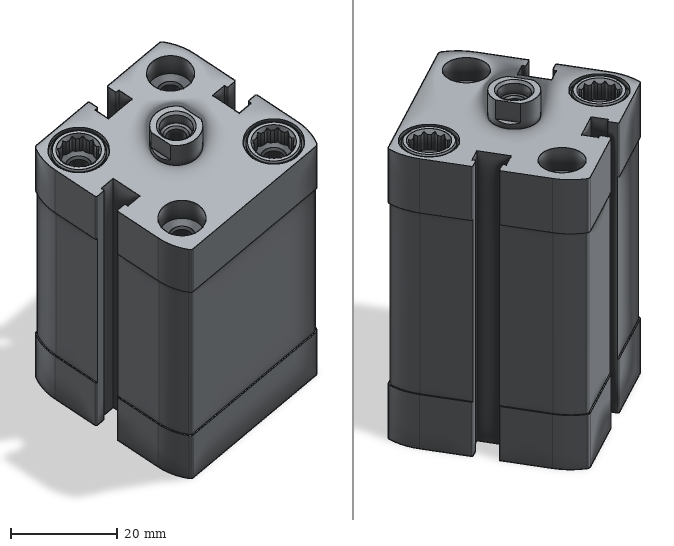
import cadquery as cq
import math

CAP_WIDTH = 39.5
HALF_WIDTH = CAP_WIDTH / 2
OVERALL_HEIGHT = 69.9
HOUSING_HEIGHT = 64.3
CAP_HEIGHT = 12.0
BARREL_INSET = 0.3

HOLE_PITCH = 26.0
HOLE_OFFSET = HOLE_PITCH / 2

CORNER_DIA = 25.4
CORNER_RADIUS = CORNER_DIA / 2
CORNER_EDGE_RADIUS = 0.85

SLOT_MOUTH = 5.2
SLOT_WIDTH = 6.7
SLOT_LIP = 2.3
SLOT_DEPTH = 5.65
SLOT_EDGE_RADIUS = 0.3

THROUGH_DIA = 4.1
THREAD_DIA = 5.0
COUNTERBORE_DIA = 9.0
COUNTERBORE_DEPTH = 5.0

MOAT_DIA = 11.5
MOAT_DEPTH = 1.0
SCREW_DIA = 10.5
SCREW_CHAMFER_WIDTH = 0.3
SCREW_CHAMFER_HEIGHT = 0.4
DRIVE_MOUTH_DIA = 8.5
DRIVE_MOUTH_DEPTH = 1.0
DRIVE_BORE_DIA = 7.5
DRIVE_ACROSS_FLATS = 7.0
DRIVE_DEPTH = 4.5

ROD_DIA = 10.0
ROD_BURIED = CAP_HEIGHT
ROD_FLATS = 8.75
FLATS_CLEARANCE = 1.4
FLATS_SLOPE = 30
ROD_MOUTH_DIA = 7.5
ROD_BORE_DIA = 6.4
ROD_BORE_DEPTH = 2.8
ROD_THREAD_DIA = 5.0
THREAD_CHAMFER_DEPTH = 0.35
ROD_DRILL_DIA = 4.0
ROD_DRILL_DEPTH = 10.0
DRILL_TIP_ANGLE = 118


def cone(large_dia, small_dia, height, z):
    """Cone frustum along Z with its large end at z, narrowing downwards."""
    return cq.Workplane(cq.Solid.makeCone(
        large_dia / 2, small_dia / 2, height, cq.Vector(0, 0, z), cq.Vector(0, 0, -1)))


def countersink(large_dia, small_dia, z):
    """45 degree countersink opening at z."""
    return cone(large_dia, small_dia, (large_dia - small_dia) / 2, z)


def cylinder(dia, z_bottom, z_top):
    return cq.Workplane().workplane(offset=z_bottom).circle(dia / 2).extrude(z_top - z_bottom)


def profile_block(inset, z_bottom, z_top):
    """Length of the square profile with its outline moved inwards by inset."""
    half = HALF_WIDTH - inset
    radius = CORNER_RADIUS - inset
    reach = half - HOLE_OFFSET
    arc_center_y = half - radius
    end_y = arc_center_y + math.sqrt(radius**2 - reach**2)
    mid_angle = math.asin(reach / radius) / 2
    mid_x = HOLE_OFFSET + radius * math.sin(mid_angle)
    mid_y = arc_center_y + radius * math.cos(mid_angle)
    return (
        cq.Workplane().workplane(offset=z_bottom)
        .moveTo(-HOLE_OFFSET, half)
        .lineTo(HOLE_OFFSET, half)
        .threePointArc((mid_x, mid_y), (half, end_y))
        .lineTo(half, -end_y)
        .threePointArc((mid_x, -mid_y), (HOLE_OFFSET, -half))
        .lineTo(-HOLE_OFFSET, -half)
        .threePointArc((-mid_x, -mid_y), (-half, -end_y))
        .lineTo(-half, end_y)
        .threePointArc((-mid_x, mid_y), (-HOLE_OFFSET, half))
        .close()
        .extrude(z_top - z_bottom)
        .edges("|Z").edges("<X or >X").fillet(CORNER_EDGE_RADIUS)
    )


def t_slot(angle):
    """Full-height T-slot cutter; angle 0 opens it towards +X."""
    mouth = SLOT_MOUTH / 2
    wide = SLOT_WIDTH / 2
    lip_x = HALF_WIDTH - SLOT_LIP
    floor_x = HALF_WIDTH - SLOT_DEPTH
    r = SLOT_EDGE_RADIUS
    cutter = (
        cq.Workplane()
        .moveTo(HALF_WIDTH, -mouth - r)
        .radiusArc((HALF_WIDTH - r, -mouth), -r)
        .lineTo(lip_x + r, -mouth)
        .radiusArc((lip_x, -mouth - r), -r)
        .lineTo(lip_x, -wide)
        .lineTo(floor_x, -wide)
        .lineTo(floor_x, wide)
        .lineTo(lip_x, wide)
        .lineTo(lip_x, mouth + r)
        .radiusArc((lip_x + r, mouth), -r)
        .lineTo(HALF_WIDTH - r, mouth)
        .radiusArc((HALF_WIDTH, mouth + r), -r)
        .close()
        .extrude(HOUSING_HEIGHT)
    )
    return cutter.rotate((0, 0, 0), (0, 0, 1), angle)


def through_hole(seat_z):
    """Hole along the whole housing, countersunk where it opens into its seat at seat_z."""
    return cylinder(THROUGH_DIA, 0, HOUSING_HEIGHT).union(countersink(THREAD_DIA, THROUGH_DIA, seat_z))


def plain_corner_hole():
    seat_z = HOUSING_HEIGHT - COUNTERBORE_DEPTH
    return through_hole(seat_z).union(cylinder(COUNTERBORE_DIA, seat_z, HOUSING_HEIGHT))


def screw_corner_hole():
    """Moat around a bearing screw, plus the screw's twelve-point socket."""
    seat_z = HOUSING_HEIGHT - DRIVE_DEPTH
    moat_z = HOUSING_HEIGHT - MOAT_DEPTH
    rim_z = HOUSING_HEIGHT - SCREW_CHAMFER_HEIGHT
    face_dia = SCREW_DIA - 2 * SCREW_CHAMFER_WIDTH
    screw_head = cylinder(SCREW_DIA, moat_z, rim_z)
    screw_head = screw_head.faces(">Z").workplane().circle(SCREW_DIA / 2)
    screw_head = screw_head.workplane(offset=SCREW_CHAMFER_HEIGHT).circle(face_dia / 2).loft()
    moat = cylinder(MOAT_DIA, moat_z, HOUSING_HEIGHT).cut(screw_head)
    socket = cylinder(DRIVE_BORE_DIA, seat_z, HOUSING_HEIGHT)
    hexagon_dia = DRIVE_ACROSS_FLATS / math.cos(math.radians(30))
    hexagon = cq.Workplane().workplane(offset=seat_z).polygon(6, hexagon_dia).extrude(DRIVE_DEPTH)
    for turn in (0, 30):
        socket = socket.union(hexagon.rotate((0, 0, 0), (0, 0, 1), turn))
    socket = socket.union(cone(DRIVE_MOUTH_DIA, DRIVE_BORE_DIA, DRIVE_MOUTH_DEPTH, HOUSING_HEIGHT))
    return through_hole(seat_z).union(socket).union(moat)


def make_housing():
    body = profile_block(BARREL_INSET, CAP_HEIGHT, HOUSING_HEIGHT - CAP_HEIGHT)
    body = body.union(profile_block(0, 0, CAP_HEIGHT))
    body = body.union(profile_block(0, HOUSING_HEIGHT - CAP_HEIGHT, HOUSING_HEIGHT))
    for angle in (90, 180, 270):
        body = body.cut(t_slot(angle))
    for side in (-1, 1):
        plain_place = (side * HOLE_OFFSET, -side * HOLE_OFFSET, 0)
        screw_place = (side * HOLE_OFFSET, side * HOLE_OFFSET, 0)
        body = body.cut(plain_corner_hole().translate(plain_place))
        body = body.cut(screw_corner_hole().translate(screw_place))
    return body.cut(cylinder(ROD_DIA, HOUSING_HEIGHT - ROD_BURIED, HOUSING_HEIGHT))


def flat_cutter():
    """Removes one wrench flat on the +Y side, ending in a slope that falls outwards."""
    flat_y = ROD_FLATS / 2
    outer_y = ROD_DIA / 2
    inner_z = HOUSING_HEIGHT + FLATS_CLEARANCE
    outer_z = inner_z - (outer_y - flat_y) * math.tan(math.radians(FLATS_SLOPE))
    return (
        cq.Workplane("YZ")
        .moveTo(flat_y, OVERALL_HEIGHT)
        .lineTo(flat_y, inner_z)
        .lineTo(outer_y, outer_z)
        .lineTo(outer_y, OVERALL_HEIGHT)
        .close()
        .extrude(outer_y, both=True)
    )


def make_rod():
    step_z = OVERALL_HEIGHT - ROD_BORE_DEPTH
    drill_z = OVERALL_HEIGHT - ROD_DRILL_DEPTH
    tip_height = ROD_DRILL_DIA / 2 / math.tan(math.radians(DRILL_TIP_ANGLE / 2))
    rod = cylinder(ROD_DIA, HOUSING_HEIGHT - ROD_BURIED, OVERALL_HEIGHT)
    for turn in (0, 180):
        rod = rod.cut(flat_cutter().rotate((0, 0, 0), (0, 0, 1), turn))
    rod = rod.cut(countersink(ROD_MOUTH_DIA, ROD_BORE_DIA, OVERALL_HEIGHT))
    rod = rod.cut(cylinder(ROD_BORE_DIA, step_z, OVERALL_HEIGHT))
    rod = rod.cut(cone(ROD_THREAD_DIA, ROD_DRILL_DIA, THREAD_CHAMFER_DEPTH, step_z))
    rod = rod.cut(cylinder(ROD_DRILL_DIA, drill_z, step_z))
    return rod.cut(cone(ROD_DRILL_DIA, 0, tip_height, drill_z))


housing = make_housing()
rod = make_rod()
result = cq.Compound.makeCompound([housing.val(), rod.val()])